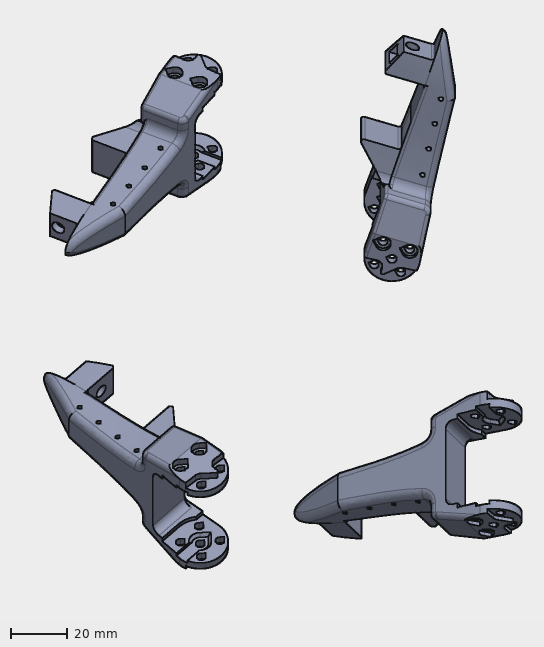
import cadquery as cq
import math


hinge_radius = 10.0
lean = math.radians(6)
nose_lean = math.radians(26)
arm_left = -8.45
knee_y = -59.3
tip_y = hinge_radius - 91.95

height = 48.0
half_height = height / 2
shoulder_y = -8.0
back_y = -22.0
shoulder_drop = 4.2
shoulder_radius = 2.0
neck_radius = 4.0
neck_z = 14.9
neck_slope = math.radians(12)
edge_radius = 1.0
outer_edge_radius = 3.0

cheek_shift = -0.7
plate_gap = 36.7
root_gap = 33.3
root_y = -7.7
plate_span = 43.45
cavity_y = -15.0
cavity_radius = 3.0
flare_depth = 1.6
flare_radius = 1.8

screw_pitch = 10.0
screw_hole = 3.2
screw_head = 5.5
head_clearance = 2.85
pad_round = 0.8
pad_left_y, pad_right_y = 2.6, 1.8

horn_hub_radius = 4.0
horn_depth = 1.3
horn_taper = 40
horn_arm_width = 5.1
horn_clearance = 10.1

cord_hole = 1.6
cord_pitch = 10.0
cord_count = 4
first_cord_y = -28.75
cord_inset = 5.1

upper_lug_height = 11.85
upper_lug_bottom = -34.9
upper_lug_yoke_y = -20.5
lug_inset = 1.1
lug_root_depth = 3.7
lower_lug_top, lower_lug_bottom = -62.1, -72.1
lower_lug_corner_x = -19.75
lower_lug_lean = math.radians(24)

tie_bore = 5.0
tie_x = -16.4
nut_width, nut_thickness = 8.0, 3.95
nut_y = (lower_lug_top + lower_lug_bottom) / 2

arm_stations = [(-37.7, 8.9), (-57.8, 7.4), (-72.4, 5.8), (-76.7, 4.7), (-80.0, 3.1)]

neck_end = math.pi / 2 - neck_slope
arm_direction = (-math.cos(neck_slope), -math.sin(neck_slope))


def right_side(y):
    """X of the leaning +X side at the given Y."""
    return hinge_radius / math.cos(lean) + y * math.tan(lean)


def neck_point(angle, inset=0):
    """Point of the neck round, turned down from the horizontal by the angle."""
    radius = neck_radius + inset
    y = back_y - neck_radius + radius * math.cos(angle)
    return (y, neck_z - radius * math.sin(angle))


def side_outline():
    """Upper half of the body's outline seen along X, swept well past the body."""
    return (
        cq.Workplane("YZ", origin=(-3 * hinge_radius, 0, 0))
        .moveTo(hinge_radius, 0)
        .lineTo(hinge_radius, half_height)
        .lineTo(shoulder_y, half_height)
        .lineTo(back_y, half_height - shoulder_drop)
        .lineTo(*neck_point(0))
        .threePointArc(neck_point(neck_end / 2), neck_point(neck_end))
        .spline(arm_stations + [(tip_y, 0)], tangents=[arm_direction, (0, -1)], includeCurrent=True)
        .close()
        .extrude(5 * hinge_radius)
    )


def plan_outline():
    tangent = (hinge_radius * math.cos(lean), -hinge_radius * math.sin(lean))
    knee_x = right_side(knee_y)
    end_y = tip_y - 1.8
    end_x = knee_x - (knee_y - end_y) * math.tan(nose_lean)
    return (
        cq.Workplane("XY")
        .moveTo(-hinge_radius, 0)
        .threePointArc((0, hinge_radius), tangent)
        .lineTo(knee_x, knee_y)
        .lineTo(end_x, end_y)
        .lineTo(arm_left, end_y)
        .lineTo(arm_left, back_y)
        .lineTo(-hinge_radius, back_y)
        .close()
        .extrude(half_height + 0.9, both=True)
    )


def upper_lug_half():
    """Upper half of the lug with the 45 degree flank, slightly slimmer than the arm."""
    inner_x = arm_left + lug_root_depth
    flank_top = upper_lug_yoke_y + hinge_radius
    tip_x = upper_lug_bottom - flank_top
    plan = (
        cq.Workplane("XY")
        .moveTo(inner_x, back_y)
        .lineTo(inner_x, flank_top + inner_x)
        .lineTo(tip_x, upper_lug_bottom)
        .lineTo(arm_left - edge_radius, upper_lug_bottom)
        .radiusArc((arm_left, upper_lug_bottom - edge_radius), edge_radius)
        .lineTo(inner_x, upper_lug_bottom - edge_radius)
        .close()
        .extrude(half_height, both=True)
        .edges("<X")
        .fillet(edge_radius)
    )
    round_start = math.asin((neck_z - upper_lug_height) / (neck_radius + lug_inset))
    round_middle = (round_start + neck_end) / 2
    stations = [(y, z - lug_inset) for y, z in arm_stations[:2]]
    side = (
        cq.Workplane("YZ")
        .moveTo(0, 0)
        .lineTo(0, upper_lug_height)
        .lineTo(*neck_point(round_start, lug_inset))
        .threePointArc(neck_point(round_middle, lug_inset), neck_point(neck_end, lug_inset))
        .spline(stations, includeCurrent=True)
        .lineTo(stations[-1][0], 0)
        .close()
        .extrude(-4 * hinge_radius)
    )
    return plan.intersect(side)


def edges_through(solid, points):
    """The edge of the solid closest to each point."""
    return [min(solid.Edges(), key=lambda e: e.distance(cq.Vertex.makeVertex(*p))) for p in points]


def mirrored(half):
    return half.union(half.mirror("XY"))


def left_arm_edge_rounded(half):
    """Round the arm's -X edge from the neck down to the lower lug."""
    size = 4 * half_height
    nose = cq.Workplane("XY").box(size, size, size).translate((0, lower_lug_top - size / 2, 0))
    arm = half.cut(nose).val()
    station_y, station_z = arm_stations[0]
    edges = edges_through(arm, [(arm_left, station_y, station_z)])
    return cq.Workplane(arm.fillet(edge_radius, edges)).union(half.intersect(nose))


def rounded_body():
    """Both halves, with the +X edges and the shoulders rounded."""
    plain = side_outline().intersect(plan_outline())
    half = plain.union(upper_lug_half()).val()
    shoulder_z = half_height - shoulder_drop
    neck_top = (right_side(back_y), back_y, shoulder_z - 0.9)
    neck_middle_y, neck_middle_z = neck_point(math.pi / 4)
    neck_middle = (right_side(neck_middle_y), neck_middle_y, neck_middle_z)
    station_y, station_z = arm_stations[0]
    arm_side = (right_side(station_y), station_y, station_z)
    nose_y, nose_z = arm_stations[-3]
    nose_x = right_side(knee_y) - (knee_y - nose_y) * math.tan(nose_lean)
    outer = edges_through(half, [neck_top, neck_middle, arm_side, (nose_x, nose_y, nose_z)])
    half = half.fillet(outer_edge_radius, outer)
    half = half.fillet(shoulder_radius, edges_through(half, [(0, back_y, shoulder_z)]))
    return mirrored(left_arm_edge_rounded(cq.Workplane(half)))


def left_yoke_edges_rounded(body):
    """Round the outer -X edges of the yoke."""
    yoke_z = half_height - shoulder_drop / 2
    slope_y = (shoulder_y + back_y) / 2
    points = []
    for side in (1, -1):
        points += [(-hinge_radius, shoulder_y / 2, side * half_height)]
        points += [(-hinge_radius, slope_y, side * yoke_z)]
    return cq.Workplane(body.val().fillet(edge_radius, edges_through(body.val(), points)))


def on_both_plates(tool):
    """The tool, shaped for the upper plate, and its mirror image for the lower one."""
    return mirrored(tool).translate((0, 0, cheek_shift))


def teardrop(radius, depth, x=0, y=0, taper=0):
    """Upright hole with a pointed -X side."""
    tangent = radius * math.sqrt(0.5)
    return (
        cq.Workplane("XY")
        .moveTo(x - radius * math.sqrt(2), y)
        .lineTo(x - tangent, y - tangent)
        .threePointArc((x + radius, y), (x - tangent, y + tangent))
        .close()
        .extrude(depth, taper=taper)
    )


def round_point(centre, radius, degrees):
    angle = math.radians(degrees)
    return (centre[0] + radius * math.cos(angle), centre[1] + radius * math.sin(angle))


def above_plates():
    """Space beyond the wavy end of the pads, over both hinge plates."""
    hole = screw_pitch / 2
    slant = 2 * hole - head_clearance * math.sqrt(2)
    wall_x = -hole + head_clearance
    peak_x = wall_x + pad_round
    peak_y = slant - peak_x - pad_round * math.sqrt(2)
    low = hole - head_clearance
    left, right, peak = (-hole, hole), (hole, hole), (peak_x, peak_y)
    outline = (
        cq.Workplane("XY", origin=(0, 0, plate_span / 2))
        .moveTo(-2 * hinge_radius, pad_left_y)
        .lineTo(-hinge_radius, pad_left_y)
        .lineTo(-hole, low)
        .threePointArc(round_point(left, head_clearance, -45), (wall_x, hole))
        .lineTo(wall_x, peak_y)
        .threePointArc(round_point(peak, pad_round, 112.5), round_point(peak, pad_round, 45))
        .lineTo(*round_point(right, head_clearance, 225))
        .threePointArc(round_point(right, head_clearance, 247.5), (hole, low))
        .lineTo(hinge_radius, pad_right_y)
        .lineTo(2 * hinge_radius, pad_right_y)
        .lineTo(2 * hinge_radius, 2 * hinge_radius)
        .lineTo(-2 * hinge_radius, 2 * hinge_radius)
        .close()
    )
    return on_both_plates(outline.extrude(half_height))


def screw_holes():
    """Four holes through both plates, the pair under the pads with room for screw heads."""
    hole = screw_pitch / 2
    tool = cq.Workplane("XY")
    for x in (-hole, hole):
        for y in (-hole, hole):
            tool = tool.union(teardrop(screw_hole / 2, half_height + 1.8, x, y))
        head = teardrop(screw_head / 2, half_height, x, -hole)
        tool = tool.union(head.translate((0, 0, plate_span / 2)))
    return on_both_plates(tool)


def horn_recesses():
    """Tapered hub recess and an arm slot that leaves through the +X side."""
    hub = teardrop(horn_hub_radius, horn_depth, taper=horn_taper)
    slot = cq.Workplane("XY").box(
        2 * hinge_radius, horn_arm_width, horn_depth, centered=(False, True, False)
    )
    return on_both_plates(hub.union(slot).translate((0, 0, plate_gap / 2)))


def horn_screw_hole():
    """Middle hole of the lower plate only."""
    return teardrop(screw_hole / 2, -height)


def cavity_outline(x, wall_y, radius):
    """Outline across X with two rounded inner corners, open toward the hinge."""
    z = root_gap / 2
    bend = radius * (1 - math.sqrt(0.5))
    return (
        cq.Workplane("YZ", origin=(x, 0, cheek_shift))
        .moveTo(2 * hinge_radius, z)
        .lineTo(wall_y + radius, z)
        .threePointArc((wall_y + bend, z - bend), (wall_y, z - radius))
        .lineTo(wall_y, radius - z)
        .threePointArc((wall_y + bend, bend - z), (wall_y + radius, -z))
        .lineTo(2 * hinge_radius, -z)
        .close()
    )


def cavity():
    mouth_x = -hinge_radius
    inner_x = mouth_x + flare_depth
    passage = cavity_outline(inner_x, cavity_y, cavity_radius).extrude(3 * hinge_radius)
    inner_wire = cavity_outline(inner_x, cavity_y, cavity_radius).wire().val()
    mouth_wire = cavity_outline(mouth_x, cavity_y - flare_depth, flare_radius).wire().val()
    flare = cq.Workplane(cq.Solid.makeLoft([mouth_wire, inner_wire], True))
    between_plates = (
        cq.Workplane("XY")
        .box(4 * hinge_radius, 2 * hinge_radius - root_y, plate_gap)
        .translate((0, hinge_radius + root_y / 2, 0))
        .union(cq.Workplane("XY").circle(horn_clearance).extrude(plate_gap / 2, both=True))
        .union(
            cq.Workplane("XY")
            .box(2 * hinge_radius, 2 * horn_clearance, plate_gap)
            .translate((hinge_radius, 0, 0))
        )
        .translate((0, 0, cheek_shift))
    )
    return passage.union(flare).union(between_plates)


def lower_lug():
    """Lug of the same width as the arm, with a cross bore and a nut pocket."""
    lug_length = lower_lug_top - lower_lug_bottom
    tip_x = lower_lug_corner_x - lug_length * math.tan(lower_lug_lean)
    plan = (
        cq.Workplane("XY")
        .moveTo(arm_left, lower_lug_top + edge_radius)
        .radiusArc((arm_left - edge_radius, lower_lug_top), edge_radius)
        .lineTo(tip_x, lower_lug_top)
        .lineTo(lower_lug_corner_x, lower_lug_bottom)
        .lineTo(arm_left - edge_radius, lower_lug_bottom)
        .radiusArc((arm_left, lower_lug_bottom - edge_radius), edge_radius)
        .close()
        .extrude(half_height, both=True)
        .edges("<X")
        .fillet(edge_radius)
    )
    bore = (
        cq.Workplane("XZ", origin=(tie_x, lower_lug_top, 0))
        .circle(tie_bore / 2)
        .extrude(lug_length)
    )
    nut_pocket = (
        cq.Workplane("XY")
        .box(nut_width - tip_x, nut_thickness, nut_width)
        .translate((tie_x + tip_x / 2, nut_y, 0))
    )
    arm_width = mirrored(side_outline())
    return plan.intersect(arm_width).cut(bore).cut(nut_pocket)


def cord_holes():
    tool = cq.Workplane("XY")
    for index in range(cord_count):
        y = first_cord_y - index * cord_pitch
        tool = tool.union(teardrop(cord_hole / 2, height, right_side(y) - cord_inset, y))
    return tool.translate((0, 0, -half_height))


body = left_yoke_edges_rounded(rounded_body().cut(above_plates()))
body = body.cut(cavity()).cut(horn_recesses()).cut(horn_screw_hole()).cut(screw_holes())
result = body.union(lower_lug()).cut(cord_holes())